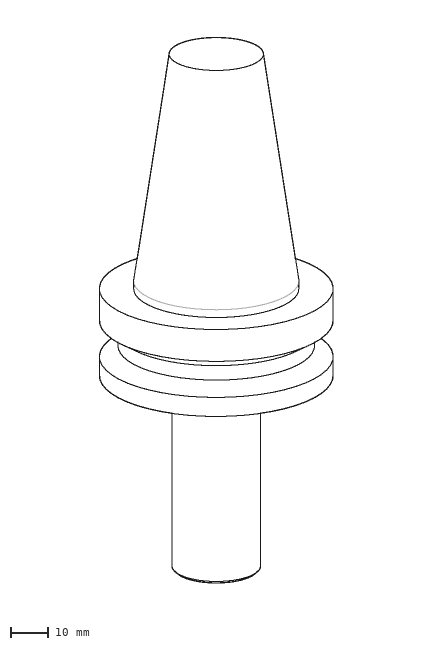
import cadquery as cq

total_height = 147.9

shank_radius = 24.0 / 2
shank_chamfer = 0.7

flange_radius = 63.0 / 2
flange_bottom_z = 55.5
flange_top_z = 80.5
groove_radius = 53.0 / 2
groove_floor_bottom_z = 64.0
groove_floor_top_z = 68.2
groove_side_height = 3.1
groove_lower_edge_z = groove_floor_bottom_z - groove_side_height
groove_upper_edge_z = groove_floor_top_z + groove_side_height

collar_height = 4.7
collar_bottom_z = flange_bottom_z - collar_height
collar_top_radius = shank_radius + collar_height

taper_base_radius = 44.5 / 2
taper_base_height = 2.2
taper_tip_radius = 12.7

shank = [
    (0, 0),
    (shank_radius - shank_chamfer, 0),
    (shank_radius, shank_chamfer),
]
collar = [
    (shank_radius, collar_bottom_z),
    (collar_top_radius, flange_bottom_z),
]
flange = [
    (flange_radius, flange_bottom_z),
    (flange_radius, groove_lower_edge_z),
    (groove_radius, groove_floor_bottom_z),
    (groove_radius, groove_floor_top_z),
    (flange_radius, groove_upper_edge_z),
    (flange_radius, flange_top_z),
]
taper = [
    (taper_base_radius, flange_top_z),
    (taper_base_radius, flange_top_z + taper_base_height),
    (taper_tip_radius, total_height),
    (0, total_height),
]

half_section = cq.Workplane("XZ").polyline(shank + collar + flange + taper).close()
result = half_section.revolve(360, (0, 0, 0), (0, 1, 0))